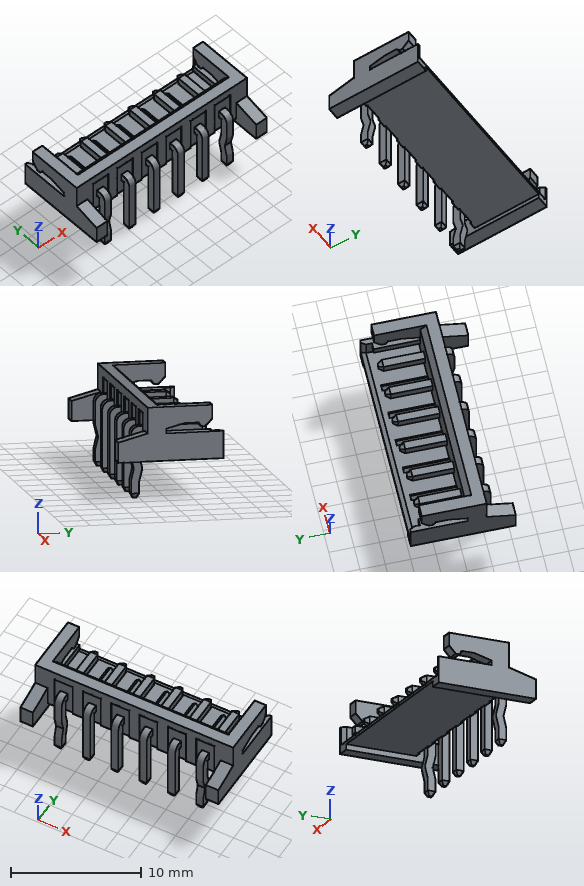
import cadquery as cq
import math

LENGTH = 17.5
HEIGHT = 4.24
REAR_Y = 5.98
FOOT_LENGTH = 2.31
FOOT_ROOT_HEIGHT = 2.2
FOOT_FRONT_HEIGHT = 1.6
FOOT_WIDTH = 1.1
CHEEK_HEIGHT = 2.15
CHEEK_WIDTH = 1.0

ARM_END_Y = 5.11
ARM_ROOT_Y = 1.47
ARM_ROOT_Z = 2.52
ARM_UNDERSIDE_Z = 2.9
ARM_TAPER_Y = 2.95
HOOK_TIP_Z = 2.59
HOOK_INNER_Y = 4.0
HOOK_TIP_INNER_Y = 4.22
HOOK_TIP_OUTER_Y = 4.55
HOOK_NOSE_Z = 3.17

FLOOR_BOTTOM = 0.45
FLOOR_TOP = 0.84
WALL_TOP_THICKNESS = 0.98
WALL_THICKNESS = ARM_ROOT_Y
WALL_BEVEL_DROP = WALL_THICKNESS - WALL_TOP_THICKNESS

LIP_BOTTOM = 1.6
LIP_END_Y = 5.15
THIN_CHEEK_WIDTH = 0.45
LEAD_IN_LENGTH = 0.37
LEAD_IN_FLARE = 0.23
LEAD_IN_DROP = 0.14

PIN_COUNT = 6
PIN_PITCH = 2.5
PIN_SIZE = 0.65
PIN_TOP = 2.36
PIN_BEND_Y = -0.18
PIN_BOTTOM = -3.27
TIP_LENGTH = 0.37
TIP_SIZE = 0.26
KINK_TOP = 0.05
KINK_BOTTOM = -1.98
KINK_ANGLE = math.radians(14)

RECESS_WIDTH = 1.61
RECESS_TOP = 3.48
RECESS_DEPTH = 0.1
RIDGE_WIDTH = 0.5
RIDGE_HEIGHT = 0.23

PIN_XS = [(i - (PIN_COUNT - 1) / 2) * PIN_PITCH for i in range(PIN_COUNT)]


def box(x_min, x_max, y_min, y_max, z_min, z_max):
    size = (x_max - x_min, y_max - y_min, z_max - z_min)
    return cq.Workplane("XY").box(*size, centered=False).translate((x_min, y_min, z_min))


def extrude_along_x(outline, x_min, x_max):
    """Extrude a closed outline drawn in Y and Z between two X positions."""
    return outline.close().extrude(x_max - x_min).translate((x_min, 0, 0))


def side_profile():
    """Outline of foot, cheek and latch arm."""
    return cq.Workplane("YZ").polyline([
        (-FOOT_LENGTH, 0),
        (REAR_Y, 0),
        (REAR_Y, CHEEK_HEIGHT),
        (ARM_ROOT_Y, CHEEK_HEIGHT),
        (ARM_ROOT_Y, ARM_ROOT_Z),
        (ARM_TAPER_Y, ARM_UNDERSIDE_Z),
        (HOOK_INNER_Y, ARM_UNDERSIDE_Z),
        (HOOK_TIP_INNER_Y, HOOK_TIP_Z),
        (HOOK_TIP_OUTER_Y, HOOK_TIP_Z),
        (ARM_END_Y, HOOK_NOSE_Z),
        (ARM_END_Y, HEIGHT),
        (0, HEIGHT),
        (0, FOOT_ROOT_HEIGHT),
        (-FOOT_LENGTH, FOOT_FRONT_HEIGHT),
    ])


def centre_profile():
    """Outline of the floor and the wall, with the wall's bevelled rear face."""
    return cq.Workplane("YZ").polyline([
        (0, FLOOR_BOTTOM),
        (REAR_Y, FLOOR_BOTTOM),
        (REAR_Y, FLOOR_TOP - LEAD_IN_DROP),
        (REAR_Y - LEAD_IN_LENGTH, FLOOR_TOP),
        (WALL_THICKNESS, FLOOR_TOP),
        (WALL_THICKNESS, HEIGHT - WALL_BEVEL_DROP),
        (WALL_TOP_THICKNESS, HEIGHT),
        (0, HEIGHT),
    ])


def cavity_cutter():
    """Space that undercuts the cheeks, thins them fully behind the lip and flares at the rear."""
    half_width = LENGTH / 2 - THIN_CHEEK_WIDTH
    lead_in_y = REAR_Y - LEAD_IN_LENGTH
    undercut = box(-half_width, half_width, WALL_THICKNESS, LIP_END_Y, FLOOR_TOP, LIP_BOTTOM)
    behind_lip = box(-half_width, half_width, LIP_END_Y, REAR_Y, FLOOR_TOP, HEIGHT)
    flare = (
        cq.Workplane("XY")
        .polyline([
            (-half_width, lead_in_y),
            (-half_width - LEAD_IN_FLARE, REAR_Y),
            (half_width + LEAD_IN_FLARE, REAR_Y),
            (half_width, lead_in_y),
        ])
        .close()
        .extrude(HEIGHT)
    )
    above_lead_in = extrude_along_x(
        cq.Workplane("YZ").polyline([
            (lead_in_y, FLOOR_TOP),
            (REAR_Y, FLOOR_TOP - LEAD_IN_DROP),
            (REAR_Y, HEIGHT),
            (lead_in_y, HEIGHT),
        ]),
        -LENGTH / 2,
        LENGTH / 2,
    )
    return undercut.union(behind_lip).union(flare.intersect(above_lead_in))


def ridge(x):
    """Triangular ridge on the floor between two contacts."""
    return (
        cq.Workplane("XZ", origin=(x, LIP_END_Y, 0))
        .polyline([
            (-RIDGE_WIDTH / 2, FLOOR_TOP),
            (RIDGE_WIDTH / 2, FLOOR_TOP),
            (0, FLOOR_TOP + RIDGE_HEIGHT),
        ])
        .close()
        .extrude(LIP_END_Y - WALL_TOP_THICKNESS)
    )


def housing():
    half = LENGTH / 2
    body = extrude_along_x(centre_profile(), -half + CHEEK_WIDTH, half - CHEEK_WIDTH)
    body = body.union(extrude_along_x(side_profile(), -half, -half + CHEEK_WIDTH))
    body = body.union(extrude_along_x(side_profile(), half - CHEEK_WIDTH, half))

    foot_profile = [
        (-FOOT_LENGTH, 0),
        (REAR_Y, 0),
        (REAR_Y, FLOOR_BOTTOM),
        (0, FLOOR_BOTTOM),
        (0, FOOT_ROOT_HEIGHT),
        (-FOOT_LENGTH, FOOT_FRONT_HEIGHT),
    ]
    for x_min in (-half, half - FOOT_WIDTH):
        foot = extrude_along_x(cq.Workplane("YZ").polyline(foot_profile), x_min, x_min + FOOT_WIDTH)
        body = body.union(foot)

    body = body.cut(cavity_cutter())
    for x in PIN_XS:
        left, right = x - RECESS_WIDTH / 2, x + RECESS_WIDTH / 2
        body = body.cut(box(left, right, 0, RECESS_DEPTH, FLOOR_BOTTOM, RECESS_TOP))
    for x in PIN_XS[:-1]:
        body = body.union(ridge(x + PIN_PITCH / 2))
    return body


def tip(base_plane):
    """Blunt pyramid that ends a contact, built outward from the given plane."""
    return (
        cq.Workplane(base_plane)
        .rect(PIN_SIZE, PIN_SIZE)
        .workplane(offset=TIP_LENGTH)
        .rect(TIP_SIZE, TIP_SIZE)
        .loft(ruled=True)
    )


def straight_leg(bottom):
    return (
        cq.Workplane("YZ")
        .moveTo(PIN_BEND_Y, PIN_TOP - PIN_SIZE)
        .lineTo(PIN_BEND_Y, bottom)
        .lineTo(PIN_BEND_Y - PIN_SIZE, bottom)
        .lineTo(PIN_BEND_Y - PIN_SIZE, PIN_TOP - PIN_SIZE)
    )


def kinked_leg(bottom):
    """Leg bowed toward the rear; each bend is sharp inside and round outside."""
    front_y = PIN_BEND_Y - PIN_SIZE
    middle_z = (KINK_TOP + KINK_BOTTOM) / 2
    bend_y = PIN_SIZE * math.cos(KINK_ANGLE)
    bend_z = PIN_SIZE * math.sin(KINK_ANGLE)
    mid_bend_y = PIN_SIZE * math.cos(KINK_ANGLE / 2)
    mid_bend_z = PIN_SIZE * math.sin(KINK_ANGLE / 2)
    slope_height = KINK_TOP - bend_z - middle_z
    inner_y = PIN_BEND_Y - bend_y + slope_height * math.tan(KINK_ANGLE)
    return (
        cq.Workplane("YZ")
        .moveTo(PIN_BEND_Y, PIN_TOP - PIN_SIZE)
        .lineTo(PIN_BEND_Y, KINK_TOP)
        .lineTo(inner_y + bend_y, middle_z + bend_z)
        .threePointArc((inner_y + PIN_SIZE, middle_z), (inner_y + bend_y, middle_z - bend_z))
        .lineTo(PIN_BEND_Y, KINK_BOTTOM)
        .lineTo(PIN_BEND_Y, bottom)
        .lineTo(front_y, bottom)
        .lineTo(front_y, KINK_BOTTOM)
        .threePointArc(
            (PIN_BEND_Y - mid_bend_y, KINK_BOTTOM + mid_bend_z),
            (PIN_BEND_Y - bend_y, KINK_BOTTOM + bend_z),
        )
        .lineTo(inner_y, middle_z)
        .lineTo(PIN_BEND_Y - bend_y, KINK_TOP - bend_z)
        .threePointArc((PIN_BEND_Y - mid_bend_y, KINK_TOP - mid_bend_z), (front_y, KINK_TOP))
        .lineTo(front_y, PIN_TOP - PIN_SIZE)
    )


def contact(x, kinked):
    """Right-angle square contact with a blunt point at both ends."""
    bar_end_y = LIP_END_Y - TIP_LENGTH
    leg_end_z = PIN_BOTTOM + TIP_LENGTH
    corner_z = PIN_TOP - PIN_SIZE
    arc_offset = PIN_SIZE * math.sqrt(0.5)
    leg = kinked_leg(leg_end_z) if kinked else straight_leg(leg_end_z)
    outline = (
        leg
        .threePointArc((PIN_BEND_Y - arc_offset, corner_z + arc_offset), (PIN_BEND_Y, PIN_TOP))
        .lineTo(bar_end_y, PIN_TOP)
        .lineTo(bar_end_y, corner_z)
    )
    bar = extrude_along_x(outline, -PIN_SIZE / 2, PIN_SIZE / 2)
    rear_centre = (0, bar_end_y, PIN_TOP - PIN_SIZE / 2)
    lower_centre = (0, PIN_BEND_Y - PIN_SIZE / 2, leg_end_z)
    rear_tip = tip(cq.Plane(origin=rear_centre, xDir=(1, 0, 0), normal=(0, 1, 0)))
    lower_tip = tip(cq.Plane(origin=lower_centre, xDir=(1, 0, 0), normal=(0, 0, -1)))
    return bar.union(rear_tip).union(lower_tip).translate((x, 0, 0))


result = housing()
for pin_x in PIN_XS:
    is_end_contact = pin_x in (PIN_XS[0], PIN_XS[-1])
    result = result.union(contact(pin_x, is_end_contact))